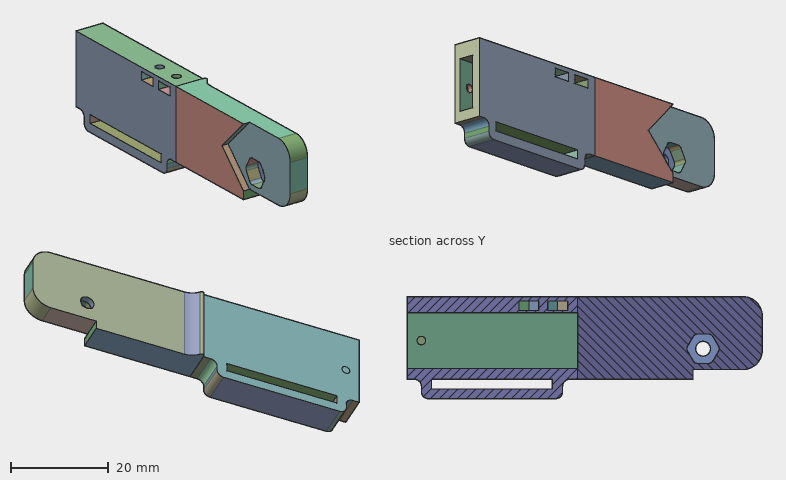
import cadquery as cq
import math


length = 72.85
body_height = 17.0
cap_length = 35.0
cap_thickness = 6.85

loop_bottom = 21.0
loop_left = 2.9
loop_right = 31.9
loop_radius = 1.45
slot_left = 5.0
slot_right = 29.7
slot_height = 2.0

pocket_front = 2.0
pocket_back = 5.5
pocket_top = 3.35
pocket_bottom = 14.7
dimple_x = 2.9
dimple_diameter = 1.75
dimple_depth = 1.2

trap_centers = (25.0, 30.9)
trap_width = 4.0
trap_top = 0.95
trap_bottom = 2.85
screw_hole_diameter = 2.0
screw_hole_y = 3.1

handle_thickness = 6.0
ridge_back = 7.5
ridge_radius = 0.5
ridge_fillet = 4.0
tip_height = 15.0
tip_radius = 4.0
tip_step = 1.5
shoulder_x = 58.65

nut_x = 60.7
nut_z = -10.7
nut_across_flats = 6.0
nut_depth = 3.0
nut_corner_radius = 1.0
bolt_diameter = 3.0


def box(x0, x1, y0, y1, z0, z1):
    """Axis-aligned block between opposite corners."""
    return cq.Workplane("XY").box(x1 - x0, y1 - y0, z1 - z0, centered=False).translate((x0, y0, z0))


def plate(outline, y0, y1):
    """Extrude an XZ wire from y0 to y1."""
    return outline.extrude(y0 - y1).translate((0, y0, 0))


def strap_loop():
    """Rounded strap bar that blends into the underside of the cap with concave corners."""
    r = loop_radius
    diagonal = r * math.sqrt(0.5)
    root = -body_height
    foot = -loop_bottom
    outline = (
        cq.Workplane("XZ")
        .moveTo(loop_left - r, root)
        .threePointArc((loop_left - r + diagonal, root - r + diagonal), (loop_left, root - r))
        .lineTo(loop_left, foot + r)
        .threePointArc((loop_left + r - diagonal, foot + r - diagonal), (loop_left + r, foot))
        .lineTo(loop_right - r, foot)
        .threePointArc((loop_right - r + diagonal, foot + r - diagonal), (loop_right, foot + r))
        .lineTo(loop_right, root - r)
        .threePointArc((loop_right + r - diagonal, root - r + diagonal), (loop_right + r, root))
        .close()
    )
    slot = box(slot_left, slot_right, 0, cap_thickness, root - slot_height, root)
    return plate(outline, 0, cap_thickness).cut(slot)


def pocket():
    """Rectangular pocket with a blind round dimple at mid height of its back wall."""
    opening = box(0, cap_length, pocket_front, pocket_back, -pocket_bottom, -pocket_top)
    dimple_z = -(pocket_top + pocket_bottom) / 2
    dimple = (
        cq.Workplane("XZ", origin=(dimple_x, pocket_back, dimple_z))
        .circle(dimple_diameter / 2)
        .extrude(-dimple_depth)
    )
    return opening.union(dimple)


def nut_trap(center_x):
    """Hexagonal nut seat reached from the front, with a vertical screw hole through its centre."""
    height = trap_bottom - trap_top
    across_corners = trap_width / math.cos(math.pi / 6)
    seat = (
        cq.Workplane("XY", origin=(center_x, screw_hole_y, -trap_bottom))
        .transformed(rotate=(0, 0, 30))
        .polygon(6, across_corners)
        .extrude(height)
    )
    half_width = trap_width / 2
    entry = box(center_x - half_width, center_x + half_width, 0, screw_hole_y, -trap_bottom, -trap_top)
    hole = (
        cq.Workplane("XY", origin=(center_x, screw_hole_y, -pocket_top))
        .circle(screw_hole_diameter / 2)
        .extrude(pocket_top)
    )
    return seat.union(entry).union(hole)


def make_cap():
    cap = box(0, cap_length, 0, cap_thickness, -body_height, 0)
    cap = cap.union(strap_loop()).cut(pocket())
    for center_x in trap_centers:
        cap = cap.cut(nut_trap(center_x))
    return cap


def handle_blank():
    """Handle with a rounded ridge at the joint, sloping at 45 degrees to the flat back."""
    r = ridge_radius
    diagonal = r * math.sqrt(0.5)
    crest_x = cap_length + r
    crest_y = ridge_back - r
    slope_start = (crest_x + diagonal, crest_y + diagonal)
    blend_drop = ridge_fillet * (1 - math.sqrt(0.5))
    blend_y = handle_thickness + blend_drop
    blend_x = slope_start[0] + slope_start[1] - blend_y
    blend_center_x = blend_x + ridge_fillet * math.sqrt(0.5)
    mid_angle = math.radians(22.5)
    blend_mid = (
        blend_center_x - ridge_fillet * math.sin(mid_angle),
        handle_thickness + ridge_fillet * (1 - math.cos(mid_angle)),
    )
    return (
        cq.Workplane("XY")
        .moveTo(cap_length, 0)
        .lineTo(cap_length, crest_y)
        .threePointArc((crest_x - diagonal, crest_y + diagonal), (crest_x, ridge_back))
        .threePointArc(
            (crest_x + r * math.sin(mid_angle), crest_y + r * math.cos(mid_angle)), slope_start
        )
        .lineTo(blend_x, blend_y)
        .threePointArc(blend_mid, (blend_center_x, handle_thickness))
        .lineTo(length, handle_thickness)
        .lineTo(length, 0)
        .close()
        .extrude(-body_height)
    )


def tip_relief():
    """Shallow front step whose edge is a right-angled V centred on the tip height."""
    half_height = tip_height / 2
    outline = (
        cq.Workplane("XZ")
        .moveTo(shoulder_x, 0)
        .lineTo(shoulder_x - half_height, -half_height)
        .lineTo(shoulder_x, -tip_height)
        .lineTo(length, -tip_height)
        .lineTo(length, 0)
        .close()
    )
    return plate(outline, 0, tip_step)


def nut_and_bolt_hole():
    """Hexagonal nut recess with rounded corners and a bolt hole through the tip."""
    across_corners = nut_across_flats / math.cos(math.pi / 6)
    center = cq.Workplane("XZ", origin=(nut_x, tip_step, nut_z))
    nut = center.polygon(6, across_corners).extrude(-nut_depth).edges("|Y").fillet(nut_corner_radius)
    bolt = center.circle(bolt_diameter / 2).extrude(tip_step - handle_thickness)
    return nut.union(bolt)


def make_handle():
    handle = handle_blank()
    handle = handle.cut(box(shoulder_x, length, 0, handle_thickness, -body_height, -tip_height))
    handle = handle.edges("|Y and >X").fillet(tip_radius)
    return handle.cut(tip_relief()).cut(nut_and_bolt_hole())


cap = make_cap()
handle = make_handle()

result = cq.Compound.makeCompound([cap.val(), handle.val()])